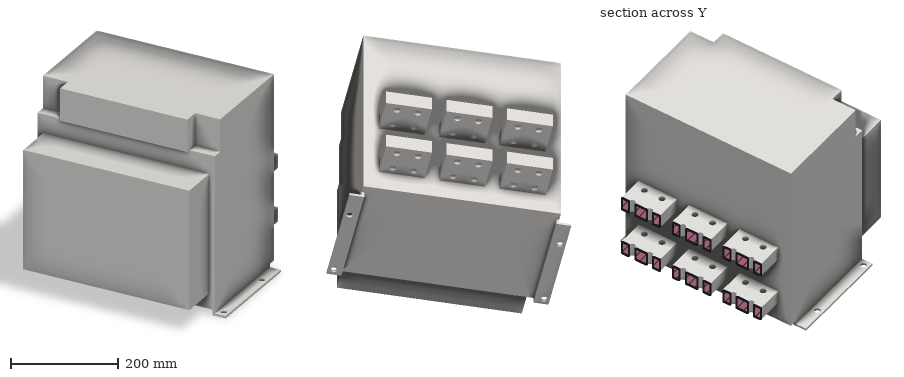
import cadquery as cq


overall_height = 402.0
body_width = 376.0
body_depth = 232.0
body_bottom = 12.0

lip_width = 270.0
lip_height = 68.0
lip_overhang = 9.0
corner_recess_depth = 21.0

box_width = 352.0
box_height = 250.0
box_depth = 78.0
box_bottom = 44.0

bar_width = 87.0
bar_thickness = 30.0
bar_length = 70.0
bar_pitch = 115.0
bar_columns = (-1, 0, 1)
bar_bottoms = (55.0, 167.0)
bar_hole_diameter = 13.0
bar_hole_pitch = 40.0
bar_hole_end_margin = 15.0

overall_width = 422.0
foot_length = 216.0
foot_thickness = 5.0
foot_hole_diameter = 12.0
foot_hole_spacing_x = 400.0
foot_hole_pitch_y = 150.0
foot_hole_front_margin = 13.0


def block(x_range, y_range, z_range):
    """Axis-aligned block spanning the given (low, high) ranges."""
    (x0, x1), (y0, y1), (z0, z1) = x_range, y_range, z_range
    return cq.Workplane("XY").box(x1 - x0, y1 - y0, z1 - z0, centered=False).translate((x0, y0, z0))


def centered_range(width, center=0.0):
    return (center - width / 2, center + width / 2)


def make_body():
    """Main body with a protruding top lip and a recessed corner on each side of it."""
    lip_bottom = overall_height - lip_height
    lower = block(centered_range(body_width), (0, body_depth), (body_bottom, lip_bottom))
    upper = block(
        centered_range(body_width), (corner_recess_depth, body_depth), (lip_bottom, overall_height)
    )
    lip = block(
        centered_range(lip_width), (-lip_overhang, corner_recess_depth), (lip_bottom, overall_height)
    )
    return lower.union(upper).union(lip)


def make_front_box():
    return block(centered_range(box_width), (-box_depth, 0), (box_bottom, box_bottom + box_height))


def make_terminal_bar(center_x, bottom):
    """Terminal bar standing out of the back face, with a square pattern of four through holes."""
    bar_end = body_depth + bar_length
    bar = block(centered_range(bar_width, center_x), (body_depth, bar_end), (bottom, bottom + bar_thickness))
    holes = (
        cq.Workplane("XY", origin=(center_x, bar_end - bar_hole_end_margin - bar_hole_pitch / 2, bottom))
        .rarray(bar_hole_pitch, bar_hole_pitch, 2, 2)
        .circle(bar_hole_diameter / 2)
        .extrude(bar_thickness)
    )
    return bar.cut(holes)


def make_right_foot():
    """Angle foot on the +X side: a web flush with the body side and an outward flange."""
    body_side = body_width / 2
    length_range = (0, foot_length)
    web = block((body_side - foot_thickness, body_side), length_range, (0, body_bottom))
    flange = block((body_side, overall_width / 2), length_range, (0, foot_thickness))
    holes = (
        cq.Workplane("XY", origin=(foot_hole_spacing_x / 2, foot_hole_front_margin, 0))
        .pushPoints([(0, 0), (0, foot_hole_pitch_y)])
        .circle(foot_hole_diameter / 2)
        .extrude(foot_thickness)
    )
    return web.union(flange).cut(holes)


result = make_body().union(make_front_box())

for column in bar_columns:
    for bar_bottom in bar_bottoms:
        result = result.union(make_terminal_bar(column * bar_pitch, bar_bottom))

right_foot = make_right_foot()
result = result.union(right_foot).union(right_foot.mirror("YZ"))